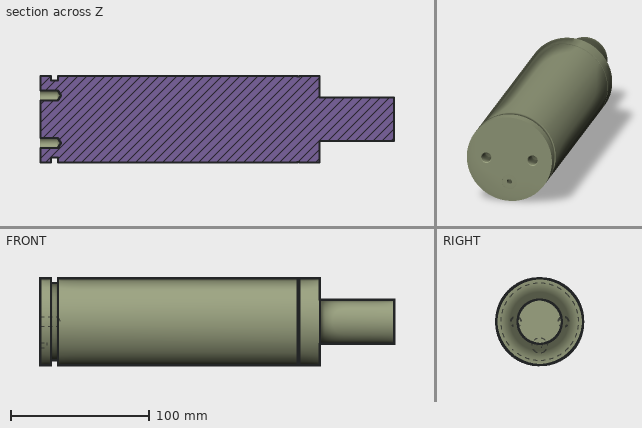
import cadquery as cq
import math

total_length = 256.0
body_diameter = 63.0
body_length = 202.2
rod_diameter = 32.0

retaining_groove_start = 8.0
retaining_groove_width = 4.9
retaining_groove_diameter = 56.0
seam_groove_start = 185.9
seam_groove_width = 1.5
seam_groove_diameter = 62.2

hole_circle_radius = 17.2
mounting_hole_diameter = 7.0
mounting_hole_depth = 12.8
countersink_diameter = 8.0
countersink_angle = 90
drill_point_angle = 118
port_diameter = 3.8
port_depth = 5.0
port_recess_diameter = 11.0
port_recess_depth = 0.3


def disc(start, length, diameter):
    """Solid cylinder on the X axis."""
    return cq.Workplane("YZ", origin=(start, 0, 0)).circle(diameter / 2).extrude(length)


def cut_ring_groove(solid, start, width, floor_diameter):
    ring = disc(start, width, body_diameter).cut(disc(start, width, floor_diameter))
    return solid.cut(ring)


def drilled_hole(y, z):
    """Countersunk blind hole with a conical drill point, entering the base face."""
    centre = cq.Vector(0, y, z)
    direction = cq.Vector(1, 0, 0)
    radius = mounting_hole_diameter / 2
    sink_radius = countersink_diameter / 2
    bore = cq.Solid.makeCylinder(radius, mounting_hole_depth, centre, direction)
    sink_depth = cone_height(sink_radius, countersink_angle)
    sink = cq.Solid.makeCone(sink_radius, 0, sink_depth, centre, direction)
    tip_start = centre + direction * mounting_hole_depth
    tip_depth = cone_height(radius, drill_point_angle)
    tip = cq.Solid.makeCone(radius, 0, tip_depth, tip_start, direction)
    return bore.fuse(sink, tip)


def cone_height(radius, included_angle):
    return radius / math.tan(math.radians(included_angle / 2))


result = disc(0, body_length, body_diameter)
result = result.union(disc(0, total_length, rod_diameter))

result = cut_ring_groove(result, retaining_groove_start, retaining_groove_width, retaining_groove_diameter)
result = cut_ring_groove(result, seam_groove_start, seam_groove_width, seam_groove_diameter)

for side in (-1, 1):
    result = result.cut(cq.Workplane(drilled_hole(side * hole_circle_radius, 0)))

port_plane = cq.Workplane("YZ").center(0, -hole_circle_radius)
port = port_plane.circle(port_diameter / 2).extrude(port_depth)
recess = port_plane.circle(port_recess_diameter / 2).extrude(port_recess_depth)
result = result.cut(port).cut(recess)